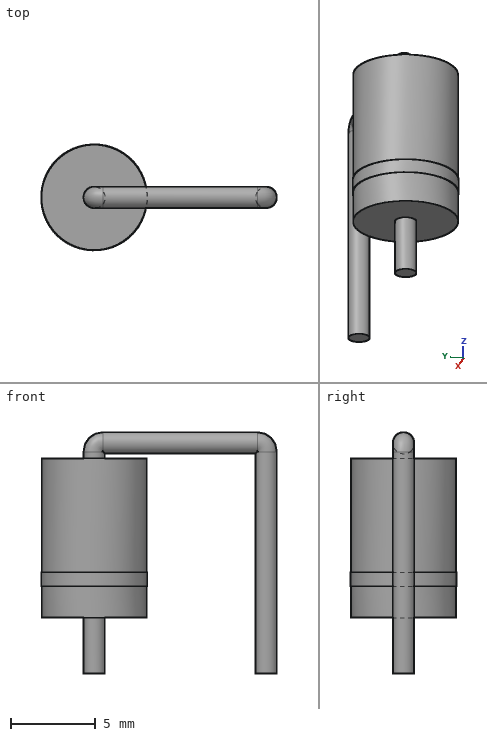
import cadquery as cq

total_height = 14.27
wire_diameter = 1.27
lead_pitch = 10.16
bend_radius = 0.51
body_diameter = 6.22
body_bottom = 3.31
body_top = 12.71
band_diameter = 6.28
band_bottom = 5.15
band_top = 5.98

wire_radius = wire_diameter / 2
crossbar_z = total_height - wire_radius
bend_z = crossbar_z - bend_radius


def upright_cylinder(diameter, bottom, top, x=0.0):
    return cq.Workplane("XY", origin=(x, 0, bottom)).circle(diameter / 2).extrude(top - bottom)


def make_elbow():
    """Quarter turn from the body lead (+Z) to the crossbar (+X).

    The bend is tighter than the wire radius, so the wire section is cut off
    at the bend axis to keep the swept solid from crossing itself.
    """
    half_chord = (wire_radius**2 - bend_radius**2) ** 0.5
    section = (
        cq.Workplane("XY", origin=(0, 0, bend_z))
        .moveTo(bend_radius, -half_chord)
        .threePointArc((-wire_radius, 0), (bend_radius, half_chord))
        .close()
    )
    return section.revolve(90, (bend_radius, 0), (bend_radius, 1))


body = upright_cylinder(body_diameter, body_bottom, body_top)
band = upright_cylinder(band_diameter, band_bottom, band_top)

body_lead = upright_cylinder(wire_diameter, 0, bend_z)
return_lead = upright_cylinder(wire_diameter, 0, bend_z, lead_pitch)
crossbar = (
    cq.Workplane("YZ", origin=(bend_radius, 0, crossbar_z))
    .circle(wire_radius)
    .extrude(lead_pitch - 2 * bend_radius)
)
elbow = make_elbow()
return_elbow = elbow.mirror("YZ").translate((lead_pitch, 0, 0))

result = body.union(band).union(body_lead).union(return_lead)
result = result.union(crossbar).union(elbow).union(return_elbow)